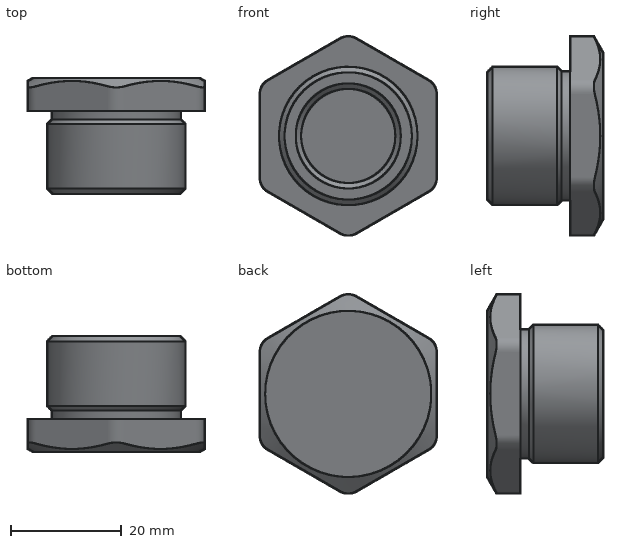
import cadquery as cq
import math

across_flats = 32.0
across_corners = 36.02
head_thickness = 6.0
crown_diameter = 30.0
crown_angle = 30.0

total_length = 21.0
neck_diameter = 23.38
neck_length = 1.5
body_diameter = 25.0
end_chamfer = 1.0

recess_mouth_diameter = 19.0
recess_floor_diameter = 17.0
recess_depth = 1.0

hexagon_sides = 6
corner_to_flat_ratio = 1 / math.cos(math.pi / hexagon_sides)
sharp_corners = across_flats * corner_to_flat_ratio
corner_radius = (sharp_corners - across_corners) / 2 / (corner_to_flat_ratio - 1)


def revolve_about_y(points):
    """Turn a closed (radius, Y) outline about the Y axis."""
    return cq.Workplane("XY").polyline(points).close().revolve(360, (0, 0, 0), (0, 1, 0))


def make_head():
    """Hexagon with corners on the Z axis, its back edge turned to a cone."""
    head = (
        cq.Workplane("XZ")
        .transformed(rotate=(0, 0, 90))
        .polygon(hexagon_sides, sharp_corners)
        .extrude(head_thickness)
        .edges("|Y")
        .fillet(corner_radius)
    )
    crown_radius = crown_diameter / 2
    blank_radius = sharp_corners / 2
    crown_drop = (blank_radius - crown_radius) * math.tan(math.radians(crown_angle))
    crowned_blank = revolve_about_y([
        (0, 0),
        (crown_radius, 0),
        (blank_radius, -crown_drop),
        (blank_radius, -head_thickness),
        (0, -head_thickness),
    ])
    return head.intersect(crowned_blank)


def make_body():
    """Neck under the head, then the wider body with both rims chamfered."""
    neck_radius = neck_diameter / 2
    body_radius = body_diameter / 2
    neck_end = head_thickness + neck_length
    shoulder = body_radius - neck_radius
    return revolve_about_y([
        (0, -head_thickness),
        (neck_radius, -head_thickness),
        (neck_radius, -neck_end),
        (body_radius, -neck_end - shoulder),
        (body_radius, -total_length + end_chamfer),
        (body_radius - end_chamfer, -total_length),
        (0, -total_length),
    ])


def make_recess():
    """Cone that narrows from the free end to a flat floor."""
    floor = -total_length + recess_depth
    return revolve_about_y([
        (0, -total_length),
        (recess_mouth_diameter / 2, -total_length),
        (recess_floor_diameter / 2, floor),
        (0, floor),
    ])


result = make_head().union(make_body()).cut(make_recess())